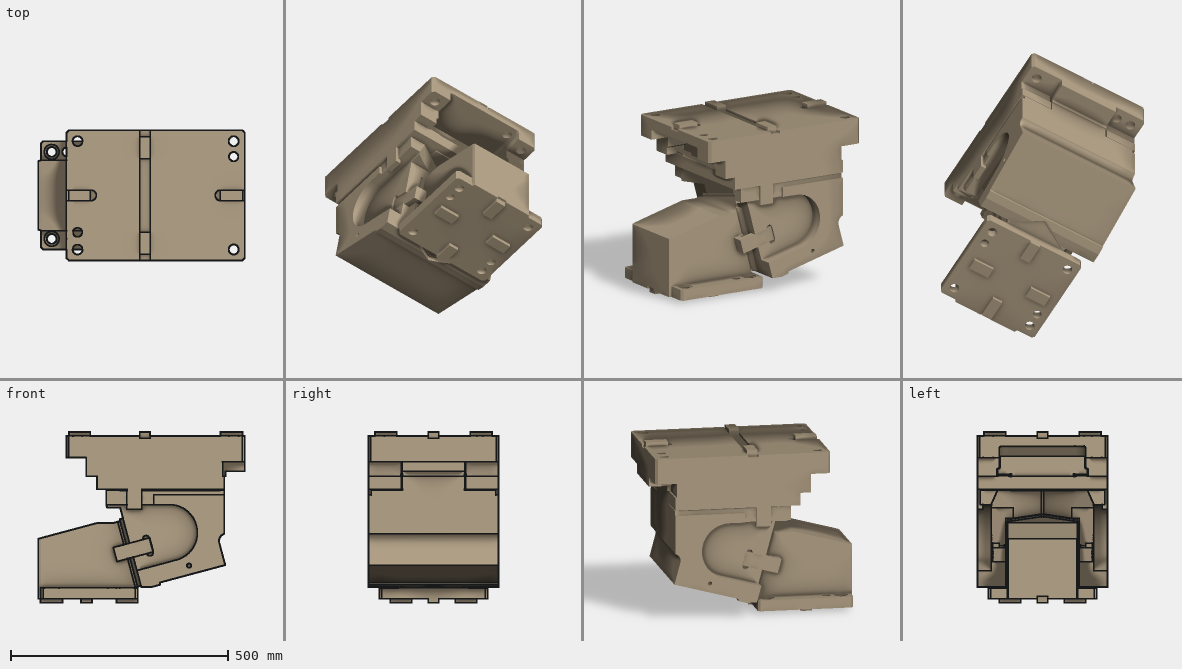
import cadquery as cq
import math


TILT = math.radians(15)
VEE = math.radians(30)
VEE_FLAT = 3
HALF_WIDTH = 150
KEY_HALF = 12.3
KEY_HEIGHT = 9
KEY_SLOT_DEPTH = 5.7

TILTED = cq.Plane(
    (0, 0, 0),
    (math.cos(TILT), 0, math.sin(TILT)),
    (-math.sin(TILT), 0, math.cos(TILT)),
)

DRIVER_X0 = -65
DRIVER_HALF = 81
DRIVER_BEVEL_X = 6.5
DRIVER_BEVEL_Y = 2
DRIVER_BACK_Z = 138.5
DRIVER_TOP_Z = 175
DRIVER_TOP_V = 141
NOSE_U = 159.6

FLANGE_X = (-59, 164)
FLANGE_HALF = 125
FLANGE_TOP = 25.5
FLANGE_CORNER = 5.5
FLANGE_INSET = 25
BOLT_DIAMETER = 22
SPOT_DIAMETER = 34
SPOT_DEPTH = 2
DOWEL_DIAMETER = 20
DOWEL_SPACING = 34.5
FOOT_KEYS_X = ((-60, -8.7), (115, 164))
FOOT_CROSS_X = (33, 58.7)
FOOT_CROSS_Y = (50, 100)

BAR_U = (134.5, 220.2)
BAR_V = (52.8, 86.3)
BAR_Y = (100, 114)
BAR_FOOT_Y = 85
BAR_FOOT_U = 148
BAR_ROOT_Y = 88
BAR_ROOT_U = 158.5

HOLDER_LENGTH = 410
HOLDER_TOP = 375
SLAB_BOTTOM = 325
SLAB_BACK_BOTTOM = 315
STEP_BOTTOM = 281.5
HOLDER_BOTTOM = 252
STEP_X = (45, 359)
BASE_X = (70, 363)
SLAB_CORNER = 5.7

HOOK_X = (139, 173.5)
HOOK_INNER = 137
HOOK_BOTTOM = 206

CAVITY_HALF = 99.4
CAVITY_FOOT_HALF = 105
CAVITY_TOP = 351.3
CAVITY_END_X = 340
CAVITY_CORNER = 22.4
CAVITY_CEILING_FILLET = 5.5
NECK_CLEARANCE = 3
STRIP_OUTER = 103
STRIP_SETBACK = 2
STRIP_BED = 1.3

HOLDER_KEYS_X = ((5.5, 55), (354, 405))
HOLDER_SLOTS_X = (68.5, 342)
HOLDER_CROSS_X = (168, 192.3)
HOLDER_CROSS_Y = (84.5, 135)
HOLDER_BOLT_INSET = 25.5
HOLDER_BOLT_Y = 124.5
HOLDER_BOLT_DIAMETER = 22.5
HOLDER_DOWEL_DIAMETER = 21
HOLDER_DOWEL_Y = (-85, 89)

SLIDE_X = (91, BASE_X[1])
SLIDE_TOP = 248.7
TOP_PAD_HEIGHT = 1.2
TOP_PADS_X = ((SLIDE_X[0], 124), (353, SLIDE_X[1]))
SHOULDER_HALF = 143.5
SHOULDER_BOTTOM = 217
LEDGE_X = 200.5
LEDGE_Z = 239
CHIN_Z = 209.5
CHIN_SETBACK = 1
SLIDE_BOTTOM = 27.3
PAD_V = -24.5
PAD_END_X = 215.5
BELLY_V = -19.5
TAIL_U = 373
RELIEF_RADIUS = 17
RELIEF_END_Z = 129

POCKET_FACE = 117.5
POCKET_RADIUS = 64.8
POCKET_BACK_X = 301
BAR_END_CLEARANCE = 1
CORNER_RELIEF_RADIUS = 7.4
SIDE_HOLE = (281.8, 76.6)
SIDE_HOLE_DIAMETER = 10
SIDE_HOLE_DEPTH = 20

FACE_U = 173.3
GROOVE_EDGE = 67.5
GROOVE_V = (-100, 300)
SEAT_EDGE = 85
WEAR_U = 165.3
WEAR_EDGE = 73
WEAR_SIDE_U = 167.2
WEAR_SIDE_EDGE = 75
WEAR_V = (-15.3, 145.5)

NECK_HALF = 71.5
TONGUE_HALF = 97.3
TONGUE_FOOT_HALF = 103
TONGUE_BOTTOM = 287
FOOT_SLOPE_Z = (298.5, 302)
TONGUE_TOP = 328
TONGUE_END_X = 290
LIP_BOTTOM = 293
LIP_ROOT_X = 366


def to_xz(u, v):
    """Point of the tilted frame as (x, z)."""
    return (u * math.cos(TILT) - v * math.sin(TILT), u * math.sin(TILT) + v * math.cos(TILT))


def meet_z(u, z):
    """Point (x, z) where the tilted plane at u crosses the level z."""
    return ((u - z * math.sin(TILT)) / math.cos(TILT), z)


def v_line_z(v, x):
    """Height at x of the line that runs along u at v."""
    return (v + x * math.sin(TILT)) / math.cos(TILT)


def v_line_x(v, z):
    """Place along X where the line that runs along u at v crosses the level z."""
    return (z * math.cos(TILT) - v) / math.sin(TILT)


def vee_u(u, edge, y):
    """u at |y| on the vee flank that passes through u at |y| = edge."""
    return u + (edge - y) * math.tan(VEE)


def block(x, y, z):
    """Box between the (low, high) limits in x, y and z."""
    size = (x[1] - x[0], y[1] - y[0], z[1] - z[0])
    return cq.Workplane("XY", origin=(x[0], y[0], z[0])).box(*size, centered=False)


def centred_block(half, x, z):
    """Box centred on Y = 0."""
    return block(x, (-half, half), z)


def profile(points, y):
    """(x, z) outline swept between the (low, high) limits in y."""
    return cq.Workplane("XZ", origin=(0, y[0], 0)).polyline(points).close().extrude(y[0] - y[1])


def along_vee(points, v):
    """(u, y) outline swept between the (low, high) limits in v."""
    return cq.Workplane(TILTED).workplane(offset=v[0]).polyline(points).close().extrude(v[1] - v[0])


def tilted_block(u, v, y):
    """Box between the (low, high) limits in u, v and y."""
    return along_vee([(u[0], y[0]), (u[1], y[0]), (u[1], y[1]), (u[0], y[1])], v)


def mirrored(half):
    """Outline of (u, |y|) points completed with its mirror image."""
    return half + [(u, -y) for u, y in reversed(half)]


def cylinder(x, y, diameter, z):
    """Upright cylinder between the (low, high) limits in z."""
    return cq.Workplane("XY", origin=(x, y, z[0])).circle(diameter / 2).extrude(z[1] - z[0])


def on_side(side, inner, outer):
    """Limits in y from |y| = inner to |y| = outer on one side."""
    return tuple(sorted((side * inner, side * outer)))


def tee(half, foot_half, top, bottom, x):
    """Tee section with a wider foot, swept between the (low, high) limits in x."""
    right = [(foot_half, bottom), (foot_half, FOOT_SLOPE_Z[0]), (half, FOOT_SLOPE_Z[1]), (half, top)]
    left = [(-y, z) for y, z in reversed(right)]
    return cq.Workplane("YZ", origin=(x[0], 0, 0)).polyline(right + left).close().extrude(x[1] - x[0])


def driver_body():
    ramp_end_x = DRIVER_X0 + (DRIVER_TOP_Z - DRIVER_BACK_Z) / math.tan(TILT)
    outline = [
        (DRIVER_X0, 0),
        (FLANGE_X[1], 0),
        (FLANGE_X[1], FLANGE_TOP),
        meet_z(NOSE_U, FLANGE_TOP),
        to_xz(NOSE_U, DRIVER_TOP_V),
        (v_line_x(DRIVER_TOP_V, DRIVER_TOP_Z), DRIVER_TOP_Z),
        (ramp_end_x, DRIVER_TOP_Z),
        (DRIVER_X0, DRIVER_BACK_Z),
    ]
    body = profile(outline, (-DRIVER_HALF, DRIVER_HALF))
    for side in (1, -1):
        bevel = [
            (DRIVER_X0, side * DRIVER_HALF),
            (DRIVER_X0 + DRIVER_BEVEL_X, side * DRIVER_HALF),
            (DRIVER_X0, side * (DRIVER_HALF - DRIVER_BEVEL_Y)),
        ]
        body = body.cut(cq.Workplane("XY").polyline(bevel).close().extrude(DRIVER_TOP_Z))
    return body


def driver_nose():
    """Convex vee that runs in the groove of the slide."""
    tip_u = vee_u(NOSE_U, DRIVER_HALF, VEE_FLAT)
    half = [(BAR_U[0], DRIVER_HALF), (NOSE_U, DRIVER_HALF), (tip_u, VEE_FLAT)]
    return along_vee(mirrored(half), (WEAR_V[0], DRIVER_TOP_V))


def driver_flange():
    """Foot flange with four bolt holes and two dowel holes on opposite corners."""
    height = (0, FLANGE_TOP)
    flange = centred_block(FLANGE_HALF, FLANGE_X, height).edges("|Z").chamfer(FLANGE_CORNER)
    bolt_y = FLANGE_HALF - FLANGE_INSET
    front_x = FLANGE_X[0] + FLANGE_INSET
    back_x = FLANGE_X[1] - FLANGE_INSET
    for x in (front_x, back_x):
        for y in (-bolt_y, bolt_y):
            flange = flange.cut(cylinder(x, y, BOLT_DIAMETER, height))
            flange = flange.cut(cylinder(x, y, SPOT_DIAMETER, (FLANGE_TOP - SPOT_DEPTH, FLANGE_TOP)))
    for x, y in ((front_x + DOWEL_SPACING, bolt_y), (back_x - DOWEL_SPACING, -bolt_y)):
        flange = flange.cut(cylinder(x, y, DOWEL_DIAMETER, height))
    return flange


def side_bar(side):
    """Arm that enters the slide, with a foot and a root that join it to the driver."""
    arm = tilted_block(BAR_U, BAR_V, on_side(side, *BAR_Y))
    foot = tilted_block((BAR_U[0], BAR_FOOT_U), BAR_V, on_side(side, BAR_FOOT_Y, BAR_Y[0]))
    root = tilted_block((BAR_FOOT_U, BAR_ROOT_U), BAR_V, on_side(side, DRIVER_HALF, BAR_ROOT_Y))
    return arm.union(foot).union(root)


def make_driver():
    driver = driver_body().union(driver_nose()).union(driver_flange())

    key_z = (-KEY_HEIGHT, KEY_SLOT_DEPTH)
    driver = driver.cut(centred_block(KEY_HALF, (DRIVER_X0, FOOT_KEYS_X[0][0]), (0, KEY_SLOT_DEPTH)))
    for x in FOOT_KEYS_X:
        driver = driver.union(centred_block(KEY_HALF, x, key_z))
    for side in (1, -1):
        driver = driver.union(block(FOOT_CROSS_X, on_side(side, *FOOT_CROSS_Y), key_z))
        driver = driver.union(side_bar(side))
    return driver


def slide_body():
    relief_end = meet_z(TAIL_U, RELIEF_END_Z)
    centre_x = relief_end[0] + RELIEF_RADIUS * math.cos(TILT)
    centre_z = relief_end[1] + RELIEF_RADIUS * math.sin(TILT)
    start_angle = math.acos((SLIDE_X[1] - centre_x) / RELIEF_RADIUS)
    mid_angle = (start_angle + math.pi + TILT) / 2
    relief_start = (SLIDE_X[1], centre_z + RELIEF_RADIUS * math.sin(start_angle))
    relief_mid = (
        centre_x + RELIEF_RADIUS * math.cos(mid_angle),
        centre_z + RELIEF_RADIUS * math.sin(mid_angle),
    )
    return (
        cq.Workplane("XZ", origin=(0, HALF_WIDTH, 0))
        .moveTo(SLIDE_X[0], SLIDE_TOP)
        .lineTo(SLIDE_X[1], SLIDE_TOP)
        .lineTo(*relief_start)
        .threePointArc(relief_mid, relief_end)
        .lineTo(*to_xz(TAIL_U, BELLY_V))
        .lineTo(PAD_END_X, v_line_z(BELLY_V, PAD_END_X))
        .lineTo(PAD_END_X, v_line_z(PAD_V, PAD_END_X))
        .lineTo(v_line_x(PAD_V, SLIDE_BOTTOM), SLIDE_BOTTOM)
        .lineTo(*meet_z(FACE_U, SLIDE_BOTTOM))
        .lineTo(*meet_z(FACE_U, CHIN_Z))
        .lineTo(SLIDE_X[0] + CHIN_SETBACK, CHIN_Z)
        .lineTo(SLIDE_X[0] + CHIN_SETBACK, SHOULDER_BOTTOM)
        .lineTo(SLIDE_X[0], SHOULDER_BOTTOM)
        .close()
        .extrude(2 * HALF_WIDTH)
    )


def side_pocket(y):
    """U-shaped pocket, open at the front, with a level top and a tilted bottom edge."""
    centre_x = POCKET_BACK_X - POCKET_RADIUS
    centre_z = SHOULDER_BOTTOM - POCKET_RADIUS
    arc_end = (
        centre_x + POCKET_RADIUS * math.sin(TILT),
        centre_z - POCKET_RADIUS * math.cos(TILT),
    )
    return (
        cq.Workplane("XZ", origin=(0, y[0], 0))
        .moveTo(0, SHOULDER_BOTTOM)
        .lineTo(centre_x, SHOULDER_BOTTOM)
        .threePointArc((POCKET_BACK_X, centre_z), arc_end)
        .lineTo(0, arc_end[1] - arc_end[0] * math.tan(TILT))
        .close()
        .extrude(y[0] - y[1])
    )


def bar_slot(y):
    """Slot for the arm of a side bar, with round reliefs in its two inner corners."""
    slot = tilted_block((BAR_U[0], BAR_U[1] + BAR_END_CLEARANCE), BAR_V, y)
    for v in BAR_V:
        centre = to_xz(BAR_U[1] - CORNER_RELIEF_RADIUS, v)
        circle = cq.Workplane("XZ", origin=(0, y[0], 0)).center(*centre).circle(CORNER_RELIEF_RADIUS)
        slot = slot.union(circle.extrude(y[0] - y[1]))
    return slot


def side_hole(side):
    start = cq.Workplane("XZ", origin=(0, side * HALF_WIDTH, 0)).center(*SIDE_HOLE)
    return start.circle(SIDE_HOLE_DIAMETER / 2).extrude(side * SIDE_HOLE_DEPTH)


def vee_groove(u, edge, v):
    """Cutter for a vee whose flanks meet the plane at u at |y| = edge."""
    mouth = edge + u / math.tan(VEE)
    return along_vee(mirrored([(0, mouth), (vee_u(u, edge, VEE_FLAT), VEE_FLAT)]), v)


def wear_plate():
    """Vee-shaped plate on the slide that stands proud of its seat."""
    flank_gap = vee_u(FACE_U, SEAT_EDGE, WEAR_SIDE_EDGE) - WEAR_SIDE_U
    side_depth = flank_gap * math.cos(VEE)
    back_u = WEAR_SIDE_U + side_depth * math.cos(VEE)
    back_edge = WEAR_SIDE_EDGE + side_depth * math.sin(VEE)
    half = [
        (vee_u(WEAR_U, WEAR_EDGE, VEE_FLAT), VEE_FLAT),
        (WEAR_U, WEAR_EDGE),
        (WEAR_SIDE_U, WEAR_SIDE_EDGE),
        (back_u, back_edge),
        (vee_u(back_u, back_edge, VEE_FLAT), VEE_FLAT),
    ]
    return along_vee(mirrored(half), WEAR_V)


def tee_tongue():
    """Neck, tee head and stepped back lip that hang in the holder."""
    neck = centred_block(NECK_HALF, SLIDE_X, (SLIDE_TOP, TONGUE_BOTTOM))
    head_x = (SLIDE_X[0], TONGUE_END_X)
    head = tee(TONGUE_HALF, TONGUE_FOOT_HALF, TONGUE_TOP, TONGUE_BOTTOM, head_x)
    lip = centred_block(NECK_HALF, (TONGUE_END_X, HOLDER_LENGTH), (LIP_BOTTOM, SLAB_BACK_BOTTOM))
    root = centred_block(NECK_HALF, (TONGUE_END_X, LIP_ROOT_X), (STEP_BOTTOM, LIP_BOTTOM))
    return neck.union(head).union(lip).union(root)


def make_slide():
    slide = slide_body()
    for x in TOP_PADS_X:
        slide = slide.union(centred_block(SHOULDER_HALF, x, (SLIDE_TOP, SLIDE_TOP + TOP_PAD_HEIGHT)))

    for side in (1, -1):
        rim = on_side(side, SHOULDER_HALF, HALF_WIDTH)
        slide = slide.cut(block((SLIDE_X[0], LEDGE_X), rim, (SHOULDER_BOTTOM, SLIDE_TOP)))
        slide = slide.cut(block((LEDGE_X, SLIDE_X[1]), rim, (LEDGE_Z, SLIDE_TOP)))
        notch_y = on_side(side, HOOK_INNER, HALF_WIDTH)
        slide = slide.cut(block(HOOK_X, notch_y, (SHOULDER_BOTTOM, SLIDE_TOP)))
        slide = slide.cut(side_pocket(on_side(side, POCKET_FACE, HALF_WIDTH)))
        slide = slide.cut(bar_slot(on_side(side, BAR_Y[0], POCKET_FACE)))
        slide = slide.cut(side_hole(side))

    slide = slide.cut(vee_groove(FACE_U, GROOVE_EDGE, GROOVE_V))
    slide = slide.cut(vee_groove(FACE_U, SEAT_EDGE, WEAR_V))
    return slide.union(wear_plate()).union(tee_tongue())


def holder_body():
    width = (-HALF_WIDTH, HALF_WIDTH)
    slab_outline = [
        (0, HOLDER_TOP),
        (HOLDER_LENGTH, HOLDER_TOP),
        (HOLDER_LENGTH, SLAB_BACK_BOTTOM),
        (STEP_X[0], SLAB_BACK_BOTTOM),
        (STEP_X[0], SLAB_BOTTOM),
        (0, SLAB_BOTTOM),
    ]
    slab = profile(slab_outline, width).edges("|Z and (<X or >X)").chamfer(SLAB_CORNER)
    step = block(STEP_X, width, (STEP_BOTTOM, SLAB_BACK_BOTTOM))
    base = block(BASE_X, width, (HOLDER_BOTTOM, STEP_BOTTOM))
    return slab.union(step).union(base)


def tongue_cavity():
    """Tee slot, open at the front, with a round-cornered back wall."""
    upper = centred_block(CAVITY_HALF, (0, CAVITY_END_X), (STEP_BOTTOM, CAVITY_TOP))
    upper = upper.edges("|Z and >X").fillet(CAVITY_CORNER)
    foot_x = (0, CAVITY_END_X - CAVITY_CORNER)
    foot = tee(CAVITY_HALF, CAVITY_FOOT_HALF, CAVITY_TOP, STEP_BOTTOM, foot_x)
    return upper.union(foot).faces(">Z").edges("not <X").fillet(CAVITY_CEILING_FILLET)


def ride_strip(side):
    """Strip on its low bed, beside the neck slot."""
    inner = NECK_HALF + NECK_CLEARANCE
    bed_x = (BASE_X[0], TONGUE_END_X)
    bed = block(bed_x, on_side(side, inner, CAVITY_FOOT_HALF), (STEP_BOTTOM, STEP_BOTTOM + STRIP_BED))
    strip_x = (BASE_X[0] + STRIP_SETBACK, TONGUE_END_X)
    strip = block(strip_x, on_side(side, inner + NECK_CLEARANCE, STRIP_OUTER), (STEP_BOTTOM, TONGUE_BOTTOM))
    return bed.union(strip)


def key_slot(round_end, open_end, direction, z):
    """Slot along X with one round end; direction points from the round to the open end."""
    centre = round_end + direction * KEY_HALF
    straight = centred_block(KEY_HALF, tuple(sorted((centre, open_end))), z)
    return straight.union(cylinder(centre, 0, 2 * KEY_HALF, z))


def add_top_keys(holder):
    slot_z = (HOLDER_TOP - KEY_SLOT_DEPTH, HOLDER_TOP)
    key_z = (slot_z[0], HOLDER_TOP + KEY_HEIGHT)
    holder = holder.cut(block(HOLDER_CROSS_X, (-HALF_WIDTH, HALF_WIDTH), slot_z))
    holder = holder.cut(key_slot(HOLDER_SLOTS_X[0], 0, -1, slot_z))
    holder = holder.cut(key_slot(HOLDER_SLOTS_X[1], HOLDER_LENGTH, 1, slot_z))
    for x in HOLDER_KEYS_X:
        holder = holder.union(centred_block(KEY_HALF, x, key_z))
    for side in (1, -1):
        holder = holder.union(block(HOLDER_CROSS_X, on_side(side, *HOLDER_CROSS_Y), key_z))
    return holder


def make_holder():
    holder = holder_body().cut(tongue_cavity())
    neck_slot_x = (SLIDE_X[0], HOLDER_LENGTH)
    neck_slot_z = (HOLDER_BOTTOM, SLAB_BACK_BOTTOM)
    holder = holder.cut(centred_block(NECK_HALF + NECK_CLEARANCE, neck_slot_x, neck_slot_z))
    for side in (1, -1):
        holder = holder.union(ride_strip(side))
        hook_y = on_side(side, HOOK_INNER, HALF_WIDTH)
        holder = holder.union(block(HOOK_X, hook_y, (HOOK_BOTTOM, HOLDER_BOTTOM)))

    through = (SLAB_BACK_BOTTOM, HOLDER_TOP)
    ends_x = (HOLDER_BOLT_INSET, HOLDER_LENGTH - HOLDER_BOLT_INSET)
    for x, dowel_y in zip(ends_x, HOLDER_DOWEL_Y):
        for y in (-HOLDER_BOLT_Y, HOLDER_BOLT_Y):
            holder = holder.cut(cylinder(x, y, HOLDER_BOLT_DIAMETER, through))
        holder = holder.cut(cylinder(x, dowel_y, HOLDER_DOWEL_DIAMETER, through))
    return add_top_keys(holder)


driver = make_driver().solids()
slide = make_slide().solids()
holder = make_holder().solids()
result = cq.Compound.makeCompound([driver.val(), slide.val(), holder.val()])